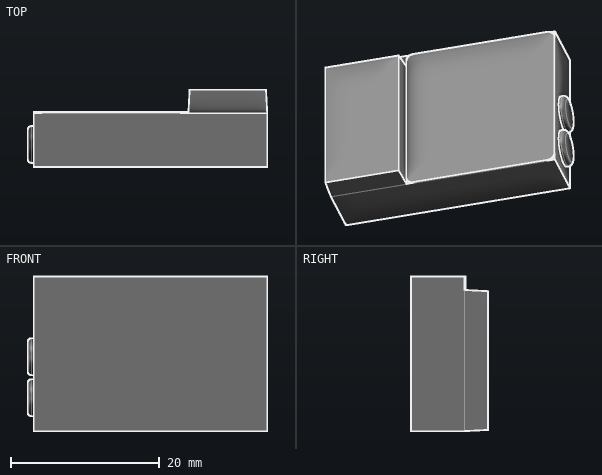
import cadquery as cq
import math

total_length = 32.2
total_depth = 10.4
body_height = 20.8

button_diameter = 5.0
button_rise = 0.8
button_fillet = 0.5
button_center_y = 3.03
button_centers_z = (4.5, 10.0)

body_length = total_length - button_rise
body_depth = 7.2

draft_angle = 3
draft_slope = math.tan(math.radians(draft_angle))

block_length = 10.63
block_height = 19.0
block_rise = total_depth - body_depth

pad_thickness = 0.2
pad_corner_radius = 1.0
pad_overlap = 2 * pad_thickness * draft_slope
pad_length = body_length - block_length + pad_overlap


def make_body():
    return cq.Workplane("XY").box(body_length, body_depth, body_height, centered=False)


def make_button(center_z):
    """Disc standing on the -X face, with a rounded outer rim."""
    return (
        cq.Workplane("YZ")
        .center(button_center_y, center_z)
        .circle(button_diameter / 2)
        .extrude(-button_rise)
        .faces("<X")
        .edges()
        .fillet(button_fillet)
    )


def raise_from_back(outline, center_x, center_z, rise):
    """Raise an outline from the +Y face, its sides leaning inward by the draft angle."""
    plane = cq.Plane(origin=(center_x, body_depth, center_z), xDir=(-1, 0, 0), normal=(0, 1, 0))
    return cq.Workplane(plane).placeSketch(outline).extrude(rise, taper=draft_angle)


def make_pad():
    outline = cq.Sketch().rect(pad_length, body_height).vertices().fillet(pad_corner_radius)
    return raise_from_back(outline, pad_length / 2, body_height / 2, pad_thickness)


def make_block():
    outline = cq.Sketch().rect(block_length, block_height)
    return raise_from_back(outline, body_length - block_length / 2, block_height / 2, block_rise)


result = make_body().union(make_pad()).union(make_block())
for center_z in button_centers_z:
    result = result.union(make_button(center_z))